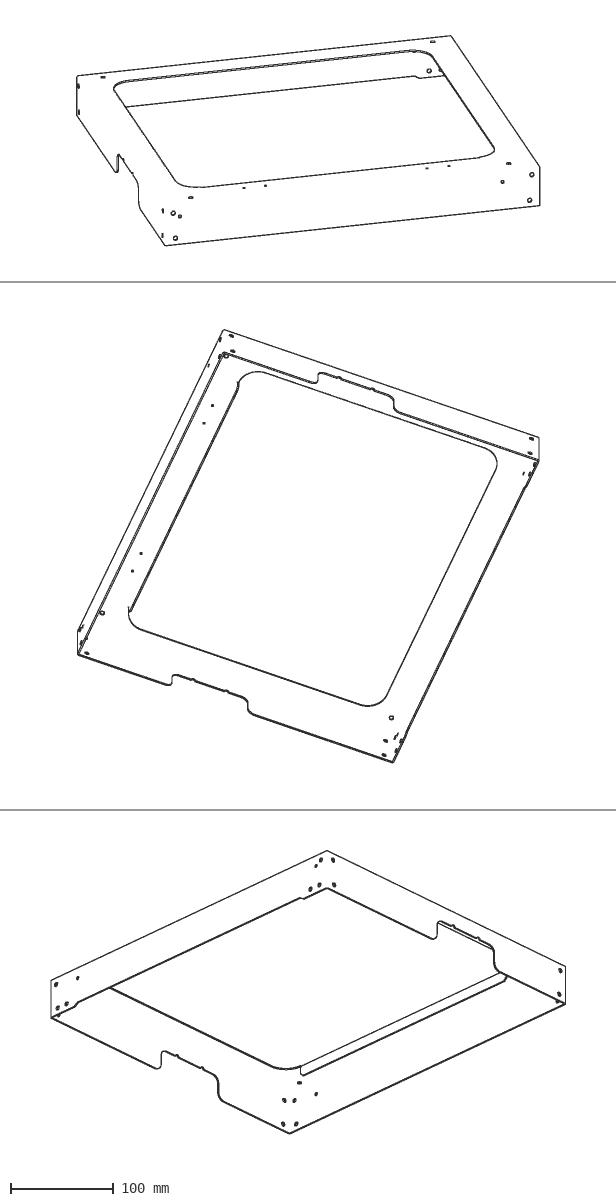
import cadquery as cq

length_x = 333.0
length_y = 378.7
height = 42.0
sheet = 1.5
bend_radius = 2.0
inner_bend_radius = bend_radius - sheet

half_x = length_x / 2
half_y = length_y / 2

window_left = -141.0
window_right = 129.0
window_front = -163.2
window_back = 158.0
window_radius = 20.0

lip_depth = 12.0
lip_chamfer = 3.0
lip_front = window_front + window_radius
lip_back = window_back - window_radius

cutout_left = -13.3
cutout_width = 80.0
cutout_height = 24.5
cutout_top_radius = 7.5
cutout_foot_radius = 7.5
nick_diameter = 4.0
nick_spacing = 35.0

relief_half_length = 152.0
relief_height = 3.0
relief_run = 4.5

small_hole = 2.0
medium_hole = 3.0
large_hole = 4.0


def rounded_block(size_x, size_y, size_z, radius):
    """Block standing on Z = 0 with rounded upright and top edges."""
    block = cq.Workplane("XY").box(size_x, size_y, size_z, centered=(True, True, False))
    return block.edges("|Z or >Z").fillet(radius)


def drill_top(points, diameter):
    """Pins that pierce the top sheet at the given (x, y) points."""
    plane = cq.Workplane("XY").workplane(offset=height - lip_depth)
    return plane.pushPoints(points).circle(diameter / 2).extrude(lip_depth)


def drill_along_y(points, diameter):
    """Pins that pierce both the front and back walls at the given (x, z) points."""
    return cq.Workplane("XZ").pushPoints(points).circle(diameter / 2).extrude(half_y, both=True)


def drill_along_x(points, diameter):
    """Pins that pierce both the left and right walls at the given (y, z) points."""
    return cq.Workplane("YZ").pushPoints(points).circle(diameter / 2).extrude(half_x, both=True)


def drill_left(points, diameter):
    """Pins that pierce only the left wall at the given (y, z) points."""
    plane = cq.Workplane("YZ").workplane(offset=-half_x)
    return plane.pushPoints(points).circle(diameter / 2).extrude(bend_radius)


def make_tray():
    """Open-bottomed tray with the window, plus room beside the window for the lip bend."""
    outside = rounded_block(length_x, length_y, height, bend_radius)
    inside = rounded_block(
        length_x - 2 * sheet, length_y - 2 * sheet, height - sheet, inner_bend_radius
    )
    window = (
        cq.Workplane("XY")
        .center((window_left + window_right) / 2, (window_front + window_back) / 2)
        .rect(window_right - window_left, window_back - window_front)
        .extrude(height)
        .edges("|Z")
        .fillet(window_radius)
    )
    lip_gap = cq.Workplane("XY").box(bend_radius, lip_back - lip_front, height, centered=False)
    lip_gap = lip_gap.translate((window_right, lip_front, 0))
    return outside.cut(inside).cut(window).cut(lip_gap)


def make_lip():
    """Downward lip with a bent top edge and chamfered lower corners."""
    bend_right = window_right + bend_radius
    bottom = height - lip_depth
    lip = (
        cq.Workplane("XZ", origin=(0, lip_back, 0))
        .moveTo(window_right, bottom)
        .lineTo(window_right, height - bend_radius)
        .radiusArc((bend_right, height), bend_radius)
        .lineTo(bend_right, height - sheet)
        .radiusArc((window_right + sheet, height - bend_radius), -inner_bend_radius)
        .lineTo(window_right + sheet, bottom)
        .close()
        .extrude(lip_back - lip_front)
    )
    return lip.edges("|X and <Z").chamfer(lip_chamfer)


def make_wall_cutout():
    """Cutout with rounded top corners, flared feet and two nicks in its top edge."""
    right = cutout_left + cutout_width
    foot = cutout_foot_radius
    top = cutout_top_radius
    middle = cutout_left + cutout_width / 2
    profile = (
        cq.Workplane("XZ")
        .moveTo(cutout_left - foot, 0)
        .radiusArc((cutout_left, foot), -foot)
        .lineTo(cutout_left, cutout_height - top)
        .radiusArc((cutout_left + top, cutout_height), top)
        .lineTo(right - top, cutout_height)
        .radiusArc((right, cutout_height - top), top)
        .lineTo(right, foot)
        .radiusArc((right + foot, 0), -foot)
        .close()
        .extrude(half_y, both=True)
    )
    nicks = drill_along_y(
        [(middle + side * nick_spacing / 2, cutout_height) for side in (-1, 1)], nick_diameter
    )
    return profile.union(nicks)


def make_relief():
    """Shallow sloped-end cutout along the bottom of the left wall."""
    half_foot = relief_half_length + relief_run
    outline = [
        (-half_foot, 0),
        (-relief_half_length, relief_height),
        (relief_half_length, relief_height),
        (half_foot, 0),
    ]
    plane = cq.Workplane("YZ").workplane(offset=-half_x)
    return plane.polyline(outline).close().extrude(bend_radius)


top_corner_holes = [(-155.0, 167.5), (-155.0, -165.5), (152.0, 161.5), (152.0, -159.5)]
top_small_holes = [(142.8, side * y) for side in (-1, 1) for y in (81.5, 103.5)]

upper_row = 33.7
middle_row = 29.5
lower_row = 7.0
front_back_holes = [(side * x, z) for side in (-1, 1) for x, z in ((158.0, upper_row), (156.5, lower_row))]
side_corner_holes = [(side * y, z) for side in (-1, 1) for y, z in ((181.0, upper_row), (178.7, lower_row))]
side_medium_holes = [(151.5, middle_row), (-174.2, middle_row)]
left_only_holes = [(166.5, lower_row), (-166.5, lower_row)]

cutters = [
    drill_top(top_corner_holes, large_hole),
    drill_top(top_small_holes, small_hole),
    drill_along_y(front_back_holes, large_hole),
    drill_along_x(side_corner_holes, large_hole),
    drill_along_x(side_medium_holes, medium_hole),
    drill_left(left_only_holes, large_hole),
    make_wall_cutout(),
    make_relief(),
]

result = make_tray().union(make_lip())
for cutter in cutters:
    result = result.cut(cutter)